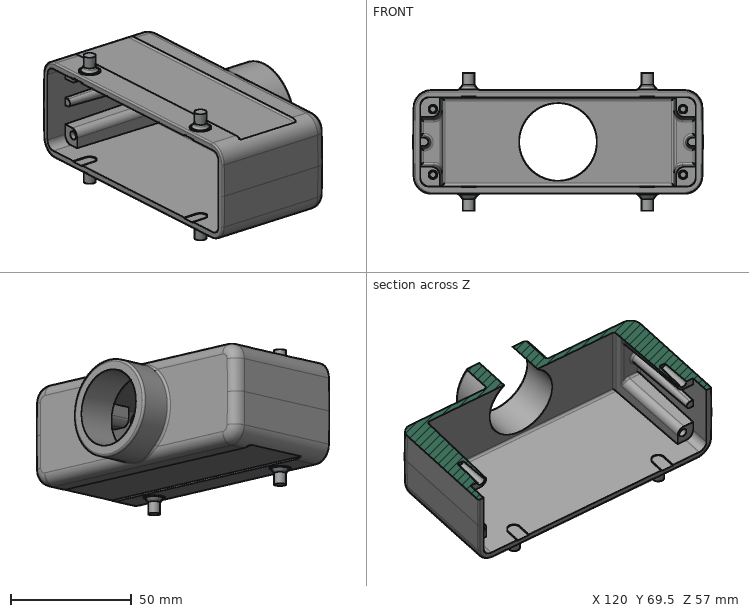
import cadquery as cq
import math

length = 120.0
height = 43.0
body_depth = 55.0
end_lean = 0.4
corner_radius = 7.5
back_edge_radius = 5.0
rim_radius = 0.7

wall = 3.0
cavity_corner_radius = 3.7
floor_y = body_depth - wall
floor_fillet = 1.1
cavity_draft = 0.5
cavity_length = length - 2 * wall
cavity_height = height - 2 * wall

boss_face_y = 9.2
block_face_x = 49.0
block_draft = 1.5
shelf_y = 46.8
shelf_width = 20.6
shelf_fillet = 1.0
shelf_edge_radius = 1.0
boss_round = 3.4
screw_x = 51.7
screw_z = 13.5
screw_hole_diameter = 3.6
screw_hole_tip_diameter = 2.6
screw_hole_depth = 14.4

rib_radius = 1.7
rib_tip_x = 53.6

neck_diameter = 41.0
neck_bore = 32.0
neck_end_y = 69.5
neck_rim_radius = 1.0
neck_root_fillet = 1.0

recess_front_y = 12.7
recess_back_y = 42.4
recess_depth = 0.8

pin_x = 37.0
pin_y = 6.4
pin_diameter = 5.0
pin_span = 57.0
foot_radius = 4.5
foot_skirt_width = 0.7
foot_skirt_height = 0.4
cone_top_radius = 2.9
cone_top_height = 1.5
foot_height = 2.2
slot_width = 5.8
slot_depth = 0.4


def plane_at(y):
    """Sketch plane facing +Y at the given Y; local x runs along -X, local y along +Z."""
    return cq.Workplane(cq.Plane(origin=(0, y, 0), xDir=(-1, 0, 0), normal=(0, 1, 0)))


def narrowing(distance, draft):
    """Sideways shift of a drafted wall over the given distance."""
    return distance * math.tan(math.radians(draft))


def box_around(x, y, z, size):
    """Selector for everything centred within a cube of the given size."""
    half = size / 2
    return cq.selectors.BoxSelector(
        (x - half, y - half, z - half),
        (x + half, y + half, z + half),
    )


def make_body():
    """Solid hood with rounded edges and the cable neck blended onto its back."""
    peak_x = length / 2
    corner_x = peak_x - end_lean
    top = height / 2
    outline = [
        (-peak_x, 0),
        (-corner_x, top),
        (corner_x, top),
        (peak_x, 0),
        (corner_x, -top),
        (-corner_x, -top),
    ]
    body = plane_at(0).polyline(outline).close().extrude(body_depth)
    for corner_edges in (body.faces(">Z"), body.faces("<Z")):
        body = body.newObject(corner_edges.edges("|Y").vals()).fillet(corner_radius)
    body = body.faces(">Y").edges().fillet(back_edge_radius)
    body = body.faces("<Y").edges().fillet(rim_radius)
    neck = plane_at(floor_y).circle(neck_diameter / 2).extrude(neck_end_y - floor_y)
    neck = neck.faces(">Y").edges().fillet(neck_rim_radius)
    body = body.union(neck)

    reach = neck_diameter / 2
    edge_rise = reach - (top - back_edge_radius)
    neck_dip = back_edge_radius - math.sqrt(back_edge_radius**2 - edge_rise**2)
    root = cq.selectors.BoxSelector(
        (-reach, body_depth - neck_dip, -reach),
        (reach, body_depth + neck_root_fillet, reach),
    )
    return body.edges(root).fillet(neck_root_fillet)


def make_cavity():
    """Drafted cavity: full width in front of the end blocks, narrower between them."""
    envelope = (
        plane_at(0)
        .sketch()
        .rect(cavity_length, cavity_height)
        .vertices()
        .fillet(cavity_corner_radius)
        .finalize()
        .extrude(floor_y, taper=cavity_draft)
    )
    front = plane_at(0).rect(length, height).extrude(boss_face_y).intersect(envelope)
    middle = (
        plane_at(boss_face_y)
        .rect(2 * block_face_x, 2 * height)
        .extrude(floor_y - boss_face_y, taper=block_draft)
        .intersect(envelope)
        .faces(">Y")
        .edges()
        .fillet(floor_fillet)
    )
    shelf_depth = shelf_y - boss_face_y
    pockets = (
        plane_at(boss_face_y)
        .rect(2 * length, shelf_width)
        .extrude(shelf_depth, taper=block_draft)
        .intersect(envelope)
    )
    cavity = front.union(middle).union(pockets)

    middle_y = (boss_face_y + shelf_y) / 2
    for side_x in (-1, 1):
        for side_z in (-1, 1):
            corner = box_around(
                side_x * block_face_x, middle_y, side_z * shelf_width / 2, boss_round
            )
            cavity = cavity.edges(corner).fillet(boss_round)

    return cavity.cut(make_ribs())


def make_ribs():
    """Round-nosed ribs, running through the end walls on their outer side."""
    rib_length = length / 2 - rib_tip_x
    middle_x = rib_tip_x + rib_length / 2
    ribs = plane_at(boss_face_y).pushPoints([(-middle_x, 0), (middle_x, 0)])
    ribs = ribs.slot2D(rib_length, 2 * rib_radius)
    return ribs.extrude(shelf_y - boss_face_y, taper=-block_draft)


def cut_screw_holes(body):
    """Blind tapered hole in each of the four bosses."""
    radius_change = (screw_hole_diameter - screw_hole_tip_diameter) / 2
    taper = math.degrees(math.atan2(radius_change, screw_hole_depth))
    holes = (
        plane_at(boss_face_y)
        .rect(2 * screw_x, 2 * screw_z, forConstruction=True)
        .vertices()
        .circle(screw_hole_diameter / 2)
        .extrude(screw_hole_depth, taper=taper)
    )
    return body.cut(holes)


def cut_label_recess(body, side):
    """Flat recess across the full length, with a concave round along its back edge."""
    surface = side * height / 2
    bottom = surface - side * recess_depth
    round_start_y = recess_back_y - recess_depth
    diagonal = recess_depth * math.sqrt(0.5)
    recess = (
        cq.Workplane("YZ")
        .moveTo(recess_front_y, surface)
        .lineTo(recess_front_y, bottom)
        .lineTo(round_start_y, bottom)
        .threePointArc(
            (round_start_y + diagonal, surface - side * diagonal),
            (recess_back_y, surface),
        )
        .close()
        .extrude(length / 2, both=True)
    )
    return body.cut(recess)


def make_pin():
    """Upright locking pin with a conical foot, standing on Z = 0."""
    pin_radius = pin_diameter / 2
    pin_height = (pin_span - height) / 2
    return (
        cq.Workplane("XZ")
        .moveTo(0, -wall / 2)
        .lineTo(foot_radius, -wall / 2)
        .lineTo(foot_radius, 0)
        .lineTo(foot_radius - foot_skirt_width, foot_skirt_height)
        .lineTo(cone_top_radius, cone_top_height)
        .lineTo(pin_radius, foot_height)
        .lineTo(pin_radius, pin_height)
        .lineTo(0, pin_height)
        .close()
        .revolve(360, (0, 0, 0), (0, 1, 0))
    )


def make_pin_slot():
    """Shallow slot in the inner wall, open at the rim and round behind the pin."""
    inner_wall = cavity_height / 2
    slot_top = inner_wall + slot_depth
    round_end = cq.Workplane("XY").center(0, pin_y).circle(slot_width / 2).extrude(slot_top)
    run = cq.Workplane("XY").center(0, pin_y / 2).rect(slot_width, pin_y).extrude(slot_top)
    return round_end.union(run)


def round_shelf_edge(body, side):
    """Round the free edge of the shelf between the bosses."""
    edge_x = block_face_x - narrowing(shelf_y - boss_face_y, block_draft)
    edge = box_around(side * edge_x, shelf_y, 0, shelf_edge_radius)
    return body.edges(edge).fillet(shelf_edge_radius)


def fillet_shelf(body, side):
    """Blend the shelf into the bosses, the rib and the end wall around it."""
    inner_x = block_face_x
    outer_x = length / 2
    margin = shelf_fillet / 4
    boundary = cq.selectors.BoxSelector(
        (side * inner_x, shelf_y - margin, -shelf_width),
        (side * outer_x, shelf_y + margin, shelf_width),
    )
    return body.edges(boundary).fillet(shelf_fillet)


def add_pin(body, x, turn):
    """Pin and slot at the given X, turned about Y to reach the top or bottom wall."""
    slot = make_pin_slot().translate((x, 0, 0))
    pin = make_pin().translate((x, pin_y, height / 2))
    axis_start, axis_end = (0, 0, 0), (0, 1, 0)
    body = body.cut(slot.rotate(axis_start, axis_end, turn))
    return body.union(pin.rotate(axis_start, axis_end, turn))


result = make_body().cut(make_cavity())

for side in (-1, 1):
    result = round_shelf_edge(result, side)
    result = fillet_shelf(result, side)
    result = cut_label_recess(result, side)

result = cut_screw_holes(result)

for turn in (0, 180):
    for x in (-pin_x, pin_x):
        result = add_pin(result, x, turn)

bore = plane_at(shelf_y).circle(neck_bore / 2).extrude(neck_end_y - shelf_y)
result = result.cut(bore)